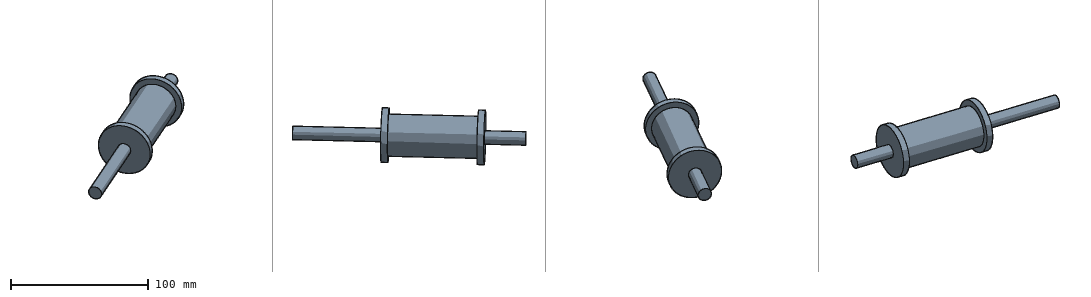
import cadquery as cq

total_length = 170.0
front_rod_length = 65.0
back_rod_length = 30.0
flange_thickness = 5.0
rod_diameter = 10.0
barrel_diameter = 31.0
flange_diameter = 40.0

front_end = -total_length / 2
front_flange_face = front_end + front_rod_length
back_flange_face = total_length / 2 - back_rod_length
spool_length = back_flange_face - front_flange_face


def cylinder_along_y(diameter, start, length):
    """Solid cylinder on the Y axis, growing toward +Y from start."""
    base = cq.Workplane("XZ", origin=(0, start, 0))
    return base.circle(diameter / 2).extrude(-length)


rod = cylinder_along_y(rod_diameter, front_end, total_length)
barrel = cylinder_along_y(barrel_diameter, front_flange_face, spool_length)
result = rod.union(barrel)

for flange_start in (front_flange_face, back_flange_face - flange_thickness):
    flange = cylinder_along_y(flange_diameter, flange_start, flange_thickness)
    result = result.union(flange)